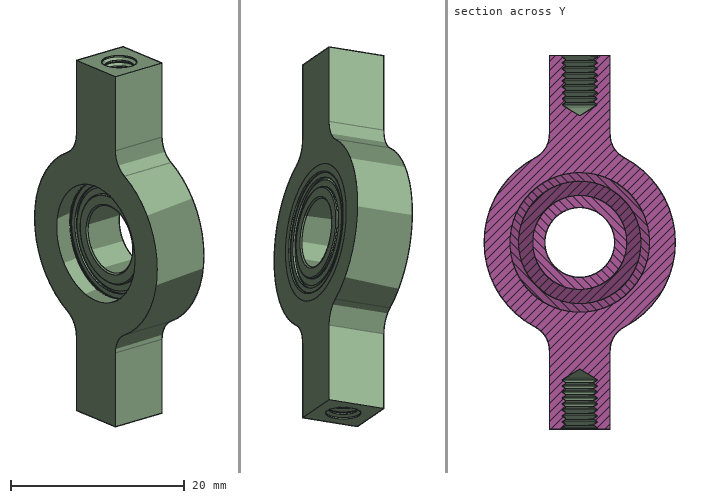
import cadquery as cq
import math

total_height = 43.0
arm_width = 7.0
disc_radius = 11.0
arm_fillet = 3.0
lip_depth = 2.0
lip_radius = 7.0

bearing_radius = 8.0
ring_chamfer = 0.15
bore_radius = 4.0
bore_chamfer = 0.17
inner_ring_radius = 5.38
shield_rim_recess = 0.2
shield_plate_recess = 0.3
shield_groove_depth = 0.25
shield_groove_outer = 6.45
shield_groove_inner = 6.15

thread_major_radius = 2.0
thread_minor_radius = 1.65
thread_pitch = 0.7
thread_lead_in = 0.17
thread_crest = 0.17
thread_turns = 8
drill_tip_angle = 118.0

half_height = total_height / 2
half_width = arm_width / 2
front_face = -half_width
seat_face = front_face + lip_depth
rear_face = half_width
shield_radius = lip_radius


def cylinder_along_y(radius, start, end):
    return cq.Workplane("XZ", origin=(0, start, 0)).circle(radius).extrude(start - end)


def revolve_about_y(profile):
    """Full turn of a closed (radius, y) profile about the Y axis."""
    return cq.Workplane("XY").polyline(profile).close().revolve(360, (0, 0, 0), (0, 1, 0))


def make_blank():
    """Disc and arms, blended where they meet."""
    disc = cylinder_along_y(disc_radius, front_face, rear_face)
    arms = cq.Workplane("XY").box(arm_width, arm_width, total_height)
    blank = disc.union(arms)
    corner_height = math.sqrt(disc_radius**2 - half_width**2)
    for x in (-half_width, half_width):
        for z in (-corner_height, corner_height):
            corner = cq.selectors.NearestToPointSelector((x, 0, z))
            blank = blank.edges(corner).fillet(arm_fillet)
    return blank


def make_tapped_hole():
    """Void of the upper hole: ring-shaped thread grooves between a short plain mouth and a conical tip."""
    flank = (thread_pitch - thread_crest) / 2
    tip_height = thread_minor_radius / math.tan(math.radians(drill_tip_angle / 2))
    z = half_height - thread_lead_in
    profile = [(0, half_height), (thread_major_radius, half_height), (thread_major_radius, z)]
    for _ in range(thread_turns):
        profile.append((thread_minor_radius, z - flank))
        profile.append((thread_minor_radius, z - flank - thread_crest))
        profile.append((thread_major_radius, z - thread_pitch))
        z -= thread_pitch
    profile.append((thread_minor_radius, z - flank))
    profile.append((0, z - flank - tip_height))
    return cq.Workplane("XZ").polyline(profile).close().revolve(360, (0, 0, 0), (0, 1, 0))


def make_housing():
    opening = cylinder_along_y(lip_radius, front_face, rear_face)
    seat = cylinder_along_y(bearing_radius, seat_face, rear_face)
    upper_hole = make_tapped_hole()
    lower_hole = upper_hole.mirror("XY")
    return make_blank().cut(opening).cut(seat).cut(upper_hole).cut(lower_hole)


def make_outer_ring():
    return revolve_about_y([
        (shield_radius, seat_face + ring_chamfer),
        (shield_radius + ring_chamfer, seat_face),
        (bearing_radius, seat_face),
        (bearing_radius, rear_face),
        (shield_radius + ring_chamfer, rear_face),
        (shield_radius, rear_face - ring_chamfer),
    ])


def make_shield():
    """Filler between the rings: on each face a rim and a plate parted by a one-sided V groove."""
    half_profile = [
        (shield_radius, shield_rim_recess),
        (shield_groove_outer, shield_rim_recess),
        (shield_groove_outer, shield_rim_recess + shield_groove_depth),
        (shield_groove_inner, shield_plate_recess),
        (inner_ring_radius, shield_plate_recess),
    ]
    front = [(radius, seat_face + recess) for radius, recess in half_profile]
    rear = [(radius, rear_face - recess) for radius, recess in reversed(half_profile)]
    return revolve_about_y(front + rear)


def make_inner_ring():
    return revolve_about_y([
        (bore_radius, seat_face + bore_chamfer),
        (bore_radius + bore_chamfer, seat_face),
        (inner_ring_radius - ring_chamfer, seat_face),
        (inner_ring_radius, seat_face + ring_chamfer),
        (inner_ring_radius, rear_face - ring_chamfer),
        (inner_ring_radius - ring_chamfer, rear_face),
        (bore_radius + bore_chamfer, rear_face),
        (bore_radius, rear_face - bore_chamfer),
    ])


housing = make_housing()
outer_ring = make_outer_ring()
shield = make_shield()
inner_ring = make_inner_ring()

result = cq.Compound.makeCompound([housing.val(), outer_ring.val(), shield.val(), inner_ring.val()])